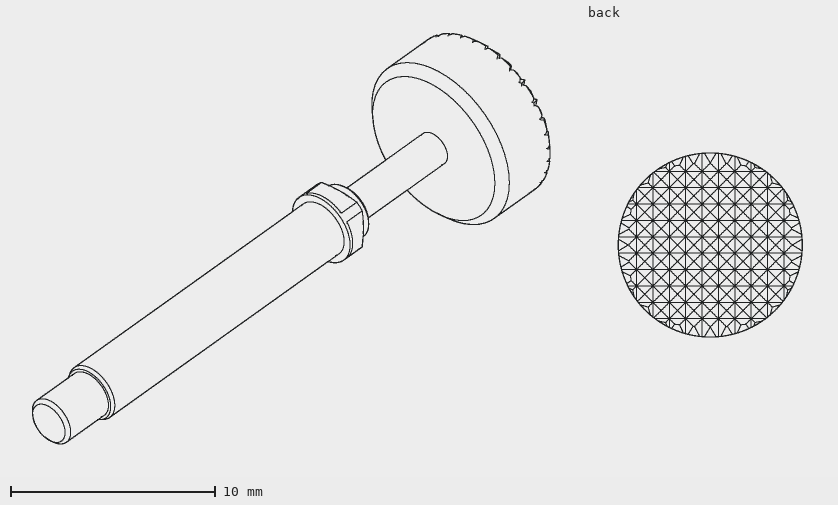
import cadquery as cq
import math


total_length = 32.3
barrel_start = 2.97
flange_start = 20.03
flange_end = 20.22
square_end = 21.45
collar_end = 22.03
head_length = 4.0
head_start = total_length - head_length

tail_diameter = 2.52
barrel_diameter = 3.0
flange_diameter = 3.78
stem_diameter = 1.8
head_diameter = 9.0
head_face_diameter = 8.0

tail_chamfer = 0.2
barrel_chamfer_length = 0.2
barrel_chamfer_width = 0.1
collar_chamfer = 0.2
head_chamfer = (head_diameter - head_face_diameter) / 2
square_chamfer_length = 0.1

teeth_across = 11
groove_count = teeth_across - 1
tooth_pitch = head_face_diameter / groove_count
groove_angle = 60.0
groove_slope = 1 / math.tan(math.radians(groove_angle / 2))
groove_depth = tooth_pitch / 2 * groove_slope
cutter_clearance = 0.65


def cylinder(diameter, start, end):
    """Round section on the Y axis from start to end."""
    section = cq.Workplane("XZ", origin=(0, start, 0)).circle(diameter / 2)
    return section.extrude(-(end - start))


def make_tail():
    tail = cylinder(tail_diameter, 0, barrel_start)
    return tail.faces("<Y").chamfer(tail_chamfer)


def make_barrel():
    """Barrel with a long shallow chamfer at the tail end and an even one at the stem end."""
    radius = barrel_diameter / 2
    profile = [
        (0, barrel_start),
        (radius - barrel_chamfer_width, barrel_start),
        (radius, barrel_start + barrel_chamfer_length),
        (radius, collar_end - collar_chamfer),
        (radius - collar_chamfer, collar_end),
        (0, collar_end),
    ]
    return cq.Workplane("XY").polyline(profile).close().revolve(360, (0, 0), (0, 1))


def make_wrench_square():
    """Four flats as wide apart as the barrel, with rounded corners flush with the flange."""
    corner_round = cylinder(flange_diameter, flange_end, square_end)
    corner_round = corner_round.faces(">Y").chamfer(
        square_chamfer_length, (flange_diameter - barrel_diameter) / 2
    )
    square_length = square_end - flange_end
    square = cq.Workplane("XY").box(barrel_diameter, square_length, barrel_diameter)
    square = square.translate((0, (flange_end + square_end) / 2, 0))
    return corner_round.intersect(square)


def make_groove_cutter():
    """Everything above a row of V grooves that run along Z."""
    outer_tip = tooth_pitch * groove_count / 2
    top = total_length + cutter_clearance
    overrun = cutter_clearance / groove_slope
    outline = [(-outer_tip - overrun, top)]
    for groove in range(groove_count):
        groove_center = -outer_tip + (groove + 0.5) * tooth_pitch
        outline.append((groove_center, total_length - groove_depth))
        if groove < groove_count - 1:
            outline.append((groove_center + tooth_pitch / 2, total_length))
    outline.append((outer_tip + overrun, top))
    return cq.Workplane("XY").polyline(outline).close().extrude(head_diameter, both=True)


def make_head():
    head = cylinder(head_diameter, head_start, total_length)
    head = head.faces("<Y or >Y").chamfer(head_chamfer)
    cutter = make_groove_cutter()
    head = head.cut(cutter)
    return head.cut(cutter.rotate((0, 0, 0), (0, 1, 0), 90))


flange = cylinder(flange_diameter, flange_start, flange_end)
stem = cylinder(stem_diameter, collar_end, head_start)

result = (
    make_barrel()
    .union(make_tail())
    .union(flange)
    .union(make_wrench_square())
    .union(stem)
    .union(make_head())
)